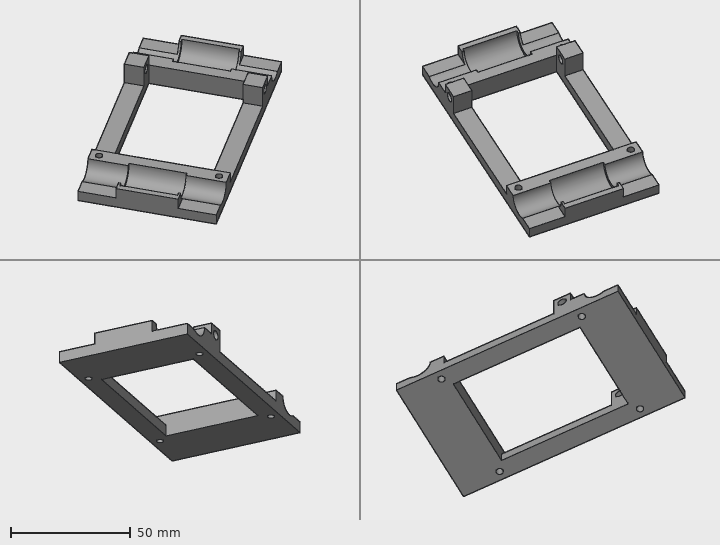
import cadquery as cq

length_x = 60.0
length_y = 105.0
base_height = 5.0
side_rail_width = 8.5
end_bar_depth = 22.5

saddle_height = 10.0
axis_inset = 10.0
shaft_radius = 6.0
bearing_radius = 7.5
bearing_length = 25.0
outer_wall_length = 27.0

screw_diameter = 3.0
screw_side_inset = 4.0

lug_depth = 8.0
lug_top = 15.0
pivot_diameter = 4.0
pivot_below_top = 4.0

half_x = length_x / 2
half_y = length_y / 2
opening_half_y = half_y - end_bar_depth
axis_y = half_y - axis_inset
inner_wall_edge_y = axis_y - shaft_radius
screw_x = half_x - screw_side_inset
screw_y = (inner_wall_edge_y + opening_half_y) / 2


def box(size_x, size_y, bottom, top, center_x, center_y):
    """Upright block between two heights, centred at a place in plan."""
    height = top - bottom
    return (
        cq.Workplane("XY")
        .box(size_x, size_y, height, centered=(True, True, False))
        .translate((center_x, center_y, bottom))
    )


def x_cylinder(radius, size_x, center_y, center_z):
    """Cylinder along X, half of its length on each side of the YZ plane."""
    return (
        cq.Workplane("YZ", origin=(-size_x / 2, center_y, center_z))
        .circle(radius)
        .extrude(size_x)
    )


def make_frame():
    """Flat rectangular frame with one large opening."""
    plate = box(length_x, length_y, 0, base_height, 0, 0)
    opening_x = length_x - 2 * side_rail_width
    return plate.cut(box(opening_x, 2 * opening_half_y, 0, base_height, 0, 0))


def make_saddle_walls(side):
    """Full-length inner wall and shorter outer wall, meeting at the groove axis."""
    inner_depth = axis_y - opening_half_y
    inner_y = side * (axis_y + opening_half_y) / 2
    outer_y = side * (axis_y + half_y) / 2
    inner_wall = box(length_x, inner_depth, base_height, saddle_height, 0, inner_y)
    outer_wall = box(outer_wall_length, axis_inset, base_height, saddle_height, 0, outer_y)
    return inner_wall.union(outer_wall)


def make_saddle_grooves(side):
    """Shaft groove along the whole width, widened in the middle for the bearing."""
    shaft = x_cylinder(shaft_radius, length_x, side * axis_y, saddle_height)
    bearing = x_cylinder(bearing_radius, bearing_length, side * axis_y, saddle_height)
    return shaft.union(bearing)


def make_lug(side):
    """Block on a side rail, against the inner wall of the +Y saddle."""
    center_x = side * (half_x - side_rail_width / 2)
    center_y = opening_half_y - lug_depth / 2
    return box(side_rail_width, lug_depth, base_height, lug_top, center_x, center_y)


def make_screw_holes():
    """Four through holes, one near each corner of the opening."""
    places = [(sx * screw_x, sy * screw_y) for sx in (-1, 1) for sy in (-1, 1)]
    return cq.Workplane("XY").pushPoints(places).circle(screw_diameter / 2).extrude(saddle_height)


def make_pivot_hole():
    """Hole along X through both lugs."""
    center_y = opening_half_y - lug_depth / 2
    return x_cylinder(pivot_diameter / 2, length_x, center_y, lug_top - pivot_below_top)


result = make_frame()
for end in (-1, 1):
    result = result.union(make_saddle_walls(end))
    result = result.cut(make_saddle_grooves(end))
for side in (-1, 1):
    result = result.union(make_lug(side))
result = result.cut(make_screw_holes()).cut(make_pivot_hole())